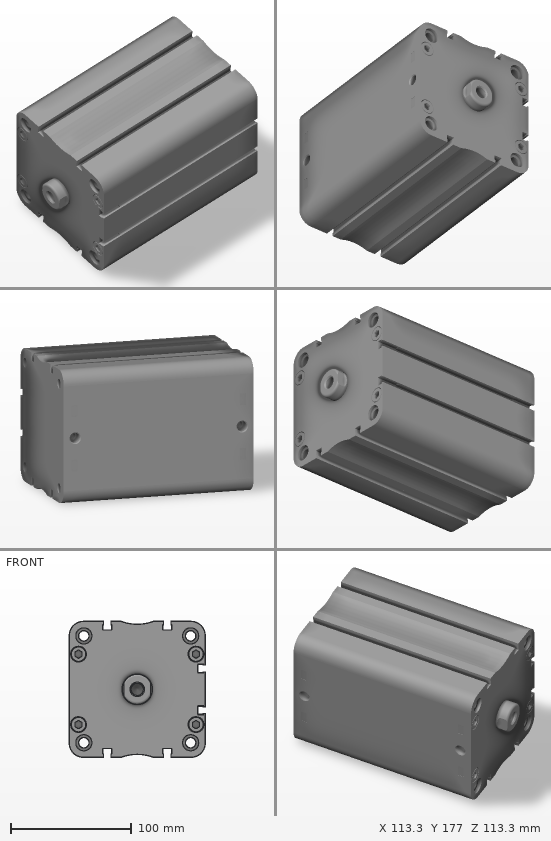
import cadquery as cq
import math


total_length = 177.0
rod_length = 10.3
housing_length = total_length - rod_length
housing_side = 113.3
half_side = housing_side / 2
corner_radius = 12.0
cap_length = 19.1

channel_width = 27.0
channel_depth = 2.5

slot_pitch = 49.7
slot_throat = 6.0
slot_width = 7.3
slot_lip = 3.0
slot_depth = 7.3

side_slot_pitch = 34.7
side_slot_throat = 5.5
side_slot_width = 6.5
side_slot_lip = 2.1
side_slot_depth = 6.2
cap_slot_width = 7.8
cap_slot_lip = 1.6

mount_pitch = 88.9
mount_diameter = 8.5
mount_counterbore_diameter = 13.5
mount_counterbore_depth = 3.0

screw_pitch_x = 97.7
screw_pitch_z = 58.5
screw_pocket_diameter = 13.1
screw_head_diameter = 12.0
screw_gap_depth = 3.5
hex_across_flats = 6.0
hex_depth = 4.5

rod_diameter = 25.0
rod_clearance_diameter = 25.5
rod_clearance_depth = 1.8
rod_end_fillet = 2.0
rod_across_flats = 22.0
rod_flat_length = 6.9
rod_flat_runout = 2.1
rod_hole_diameter = 10.1
rod_hole_mouth = 12.0
rod_hole_depth = 20.0
drill_point_angle = 118.0

port_inset = 10.1
port_mouth = 10.1
port_diameter = 8.5
port_depth = 8.8
port_inner_diameter = 6.0
port_inner_depth = 14.2
label_inset = 9.5
label_offset = 23.2
label_length = 5.3
label_height = 10.0
label_depth = 0.2


def front_plane(y=0.0):
    """Workplane facing -Y, with X to the right and Z up."""
    return cq.Workplane("XZ", origin=(0, y, 0))


def mirrored_points(pitch_x, pitch_z):
    return [(sx * pitch_x / 2, sz * pitch_z / 2) for sx in (-1, 1) for sz in (-1, 1)]


def slot_cutter(offset, angle, throat, width, lip, depth, start, length):
    """Stepped slot along Y; it opens upward before being turned about the rod axis."""
    top = half_side
    points = [
        (throat / 2, top),
        (throat / 2, top - lip),
        (width / 2, top - lip),
        (width / 2, top - depth),
    ]
    points += [(-x, z) for x, z in reversed(points)]
    points = [(x + offset, z) for x, z in points]
    cutter = front_plane(start).polyline(points).close().extrude(-length)
    return cutter.rotate((0, 0, 0), (0, 1, 0), angle)


def channel_cutter(side):
    edge = side * half_side
    return (
        front_plane()
        .moveTo(-channel_width / 2, edge)
        .threePointArc((0, edge - side * channel_depth), (channel_width / 2, edge))
        .close()
        .extrude(-housing_length)
    )


def make_housing():
    body = front_plane().rect(housing_side, housing_side).extrude(-housing_length)
    body = body.edges("|Y").fillet(corner_radius)
    cap_starts = (0, housing_length - cap_length)
    for side in (-1, 1):
        body = body.cut(channel_cutter(side))
        for angle in (0, 180):
            body = body.cut(slot_cutter(side * slot_pitch / 2, angle, slot_throat, slot_width,
                                        slot_lip, slot_depth, 0, housing_length))
        offset = side * side_slot_pitch / 2
        body = body.cut(slot_cutter(offset, 90, side_slot_throat, side_slot_width,
                                    side_slot_lip, side_slot_depth, 0, housing_length))
        for start in cap_starts:
            body = body.cut(slot_cutter(offset, 90, side_slot_throat, cap_slot_width,
                                        cap_slot_lip, side_slot_depth, start, cap_length))
    return body


def cut_mounting_holes(body):
    corners = mirrored_points(mount_pitch, mount_pitch)
    holes = front_plane().pushPoints(corners).circle(mount_diameter / 2).extrude(-housing_length)
    counterbores = (
        front_plane()
        .pushPoints(corners)
        .circle(mount_counterbore_diameter / 2)
        .extrude(-mount_counterbore_depth)
    )
    return body.cut(holes).cut(counterbores)


def cut_cap_screws(body):
    places = mirrored_points(screw_pitch_x, screw_pitch_z)
    gaps = (
        front_plane()
        .pushPoints(places)
        .circle(screw_pocket_diameter / 2)
        .circle(screw_head_diameter / 2)
        .extrude(-screw_gap_depth)
    )
    hex_radius = hex_across_flats / math.sqrt(3)
    hex_points = [
        (hex_radius * math.sin(math.radians(60 * i)), hex_radius * math.cos(math.radians(60 * i)))
        for i in range(6)
    ]
    body = body.cut(gaps)
    for x, z in places:
        socket = front_plane().center(x, z).polyline(hex_points).close().extrude(-hex_depth)
        body = body.cut(socket)
    return body


def cut_ports(body):
    chamfer = (port_mouth - port_diameter) / 2
    profile = [
        (0, 0),
        (port_mouth / 2, 0),
        (port_diameter / 2, chamfer),
        (port_diameter / 2, port_depth),
        (port_inner_diameter / 2, port_depth),
        (port_inner_diameter / 2, port_inner_depth),
        (0, port_inner_depth),
    ]
    port = cq.Workplane("XZ").polyline(profile).close().revolve(360, (0, 0), (0, 1))
    port = port.rotate((0, 0, 0), (0, 1, 0), 90)
    for y in (port_inset, housing_length - port_inset):
        body = body.cut(port.translate((-half_side, y, 0)))
    return body


def cut_labels(body):
    for y in (label_inset, housing_length - label_inset):
        for z in (-label_offset, label_offset):
            recess = cq.Workplane("XY").box(2 * label_depth, label_length, label_height)
            body = body.cut(recess.translate((-half_side, y, z)))
    return body


def flat_cutter():
    """Wrench flat on the +X side, ending in a rounded runout."""
    flat = rod_across_flats / 2
    outer = flat + rod_flat_runout
    flat_end = rod_flat_length - rod_length
    diagonal = rod_flat_runout * math.sqrt(0.5)
    return (
        cq.Workplane("XY", origin=(0, 0, -rod_diameter / 2))
        .moveTo(flat, -rod_length)
        .lineTo(flat, flat_end)
        .threePointArc(
            (outer - diagonal, flat_end + diagonal),
            (outer, flat_end + rod_flat_runout),
        )
        .lineTo(outer, -rod_length)
        .close()
        .extrude(rod_diameter)
    )


def make_rod():
    rod = (
        front_plane(rod_clearance_depth)
        .circle(rod_diameter / 2)
        .extrude(rod_length + rod_clearance_depth)
        .faces("<Y")
        .edges()
        .fillet(rod_end_fillet)
    )
    flat = flat_cutter()
    return rod.cut(flat).cut(flat.mirror("YZ"))


def rod_hole():
    """Threaded-hole bore with a chamfered mouth and a drill-point bottom."""
    radius = rod_hole_diameter / 2
    chamfer = rod_hole_mouth / 2 - radius
    tip = radius / math.tan(math.radians(drill_point_angle / 2))
    bottom = rod_hole_depth - rod_length
    return (
        cq.Workplane("XY")
        .moveTo(0, -rod_length)
        .lineTo(rod_hole_mouth / 2, -rod_length)
        .lineTo(radius, chamfer - rod_length)
        .lineTo(radius, bottom)
        .lineTo(0, bottom + tip)
        .close()
        .revolve(360, (0, 0), (0, 1))
    )


housing = make_housing()
housing = cut_mounting_holes(housing)
housing = cut_cap_screws(housing)
housing = cut_ports(housing)
housing = cut_labels(housing)
rod_clearance = front_plane().circle(rod_clearance_diameter / 2).extrude(-rod_clearance_depth)
result = housing.cut(rod_clearance).union(make_rod()).cut(rod_hole())